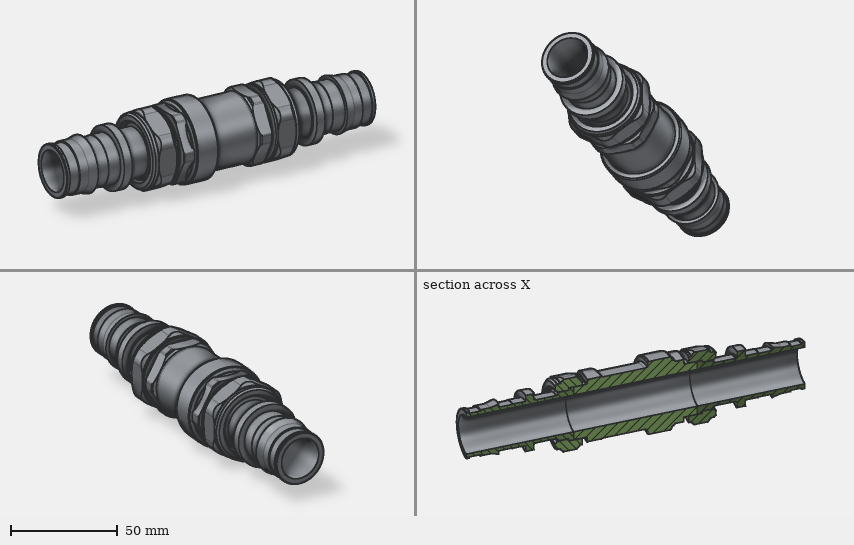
import cadquery as cq
import math


half_length = 84.7
bore_dia = 20.3

rim_dia = 26.1
rim_chamfer = 0.3
rim_width = 1.7
tail_groove_dia = 24.7
tail_groove_width = 5.5
barb_start_dia = 26.1
barb_land_width = 4.7
barb_peak_dia = 28.3
barb_taper_length = 4.2
barb_tip_width = 0.3
seat_length = 6.8
shoulder_dia = 25.0
flange_far_y = 55.0
flange_dia = 31.7
flange_width = 4.4
flange_fillet_length = 0.7
shank_dia = 24.4
tail_collar_dia = 27.6
collar_recess = 0.7

nut_far_y = 40.3
nut_near_y = 26.6
nut_collar_dia = 37.0
nut_collar_chamfer = 1.0
nut_mouth_chamfer = 1.2
nut_lip_length = 6.8
nut_hex_far_y = 37.6
nut_hex_near_y = 27.8
nut_hex_flats = 37.1
nut_hex_corner_radius = 6.8
nut_hex_crown_dia = 41.0
nut_hex_chamfer = 1.7

neck_dia = 30.0
head_far_y = nut_far_y - nut_lip_length
head_length = 2.5
neck_end_y = head_far_y - head_length

neck_collar_dia = 30.5
neck_collar_width = 0.5
body_dia = 34.5
housing_hex_y = 24.2
housing_hex_flats = 35.0
housing_hex_crown_dia = 38.3
housing_hex_edge_chamfer = 0.3
housing_hex_edge_radius = 1.7
hex_taper_y = 18.6
hex_taper_dia = 37.6
hex_cone_far_y = 17.8
hex_cone_near_y = 17.0
hex_cone_dia = 34.9
hex_runout_y = 16.1

ring_dia = 41.4
ring_crown = 0.2
ring_edge_chamfer = 0.7
ring_near_y = -6.0
ring_far_y = -17.3
ring_ramp_length = 1.7
ring_ramp_dia = 35.3
ring_taper_dia = 40.3
ring_taper_end_y = -18.0
ring_hub_dia = 37.0
ring_hub_near_y = -18.6
ring_hub_far_y = -19.2
ring_runout_end_y = -20.2


def revolve_about_y(outline):
    """Revolve a closed outline of (radius, y) about the Y axis."""
    return outline.close().revolve(360, (0, 0, 0), (0, 1, 0))


def revolved(points):
    return revolve_about_y(cq.Workplane("XY").polyline(points))


def cylinder(diameter, low_y, high_y):
    start = cq.Workplane("XZ", origin=(0, low_y, 0))
    return start.circle(diameter / 2).extrude(low_y - high_y)


def hexagon(flats, low_y, high_y, corner_angle):
    """Hexagonal bar along Y with one corner at corner_angle degrees from X towards Z."""
    start = cq.Workplane("XZ", origin=(0, low_y, 0))
    corner_dia = flats / math.cos(math.pi / 6)
    bar = start.polygon(6, corner_dia).extrude(low_y - high_y)
    return bar.rotate((0, 0, 0), (0, 1, 0), corner_angle)


def make_tail():
    """Hose tail of the +Y end."""
    rim_end = half_length - rim_width
    groove_end = rim_end - tail_groove_width
    barb_start = groove_end - barb_land_width
    barb_peak = barb_start - barb_taper_length
    barb_end = barb_peak - barb_tip_width
    seat_end = barb_end - seat_length
    flange_near_y = flange_far_y - flange_width
    shank_start = flange_near_y - flange_fillet_length
    collar_far_y = nut_far_y - collar_recess
    cone_length = (tail_collar_dia - shank_dia) / 2
    bore = bore_dia / 2

    return revolved([
        (bore, half_length),
        (rim_dia / 2 - rim_chamfer, half_length),
        (rim_dia / 2, half_length - rim_chamfer),
        (rim_dia / 2, rim_end),
        (tail_groove_dia / 2, rim_end),
        (tail_groove_dia / 2, groove_end),
        (barb_start_dia / 2, groove_end),
        (barb_start_dia / 2, barb_start),
        (barb_peak_dia / 2, barb_peak),
        (barb_peak_dia / 2, barb_end),
        (tail_groove_dia / 2, barb_end),
        (tail_groove_dia / 2, seat_end),
        (shoulder_dia / 2, seat_end),
        (shoulder_dia / 2, flange_far_y),
        (flange_dia / 2, flange_far_y),
        (flange_dia / 2, flange_near_y),
        (shoulder_dia / 2, flange_near_y),
        (shank_dia / 2, shank_start),
        (shank_dia / 2, collar_far_y),
        (tail_collar_dia / 2, collar_far_y - cone_length),
        (tail_collar_dia / 2, head_far_y),
        (neck_dia / 2, head_far_y),
        (neck_dia / 2, neck_end_y),
        (bore, neck_end_y),
    ])


def make_nut():
    """Union nut of the +Y end, with hexagon corners at +Z and -Z."""
    collar = cylinder(nut_collar_dia, nut_near_y, nut_far_y)
    collar = collar.faces(">Y").edges().chamfer(nut_collar_chamfer)

    grip = hexagon(nut_hex_flats, nut_hex_near_y, nut_hex_far_y, 90)
    grip = grip.edges("|Y").fillet(nut_hex_corner_radius)
    crown = cylinder(nut_hex_crown_dia, nut_hex_near_y, nut_hex_far_y)
    grip = grip.intersect(crown.edges("%CIRCLE").chamfer(nut_hex_chamfer))

    lip_radius = tail_collar_dia / 2
    bore = revolved([
        (0, nut_far_y),
        (lip_radius + nut_mouth_chamfer, nut_far_y),
        (lip_radius, nut_far_y - nut_mouth_chamfer),
        (lip_radius, head_far_y),
        (neck_dia / 2, head_far_y),
        (neck_dia / 2, nut_near_y),
        (0, nut_near_y),
    ])
    return collar.union(grip).cut(bore)


def make_housing_bar(low_y, high_y):
    """Hexagonal bar with corners at +X and -X, each turned to a round crown with soft edges."""
    bar = hexagon(housing_hex_flats, low_y, high_y, 0)
    bar = bar.intersect(cylinder(housing_hex_crown_dia, low_y, high_y))
    return bar.edges("|Y").fillet(housing_hex_edge_radius)


def make_housing_hexagon():
    """Hexagon of the +Y end, tapering and then coned down to the body."""
    bar = make_housing_bar(0, housing_hex_y)
    crown_radius = housing_hex_crown_dia / 2
    envelope = revolved([
        (0, housing_hex_y),
        (crown_radius - housing_hex_edge_chamfer, housing_hex_y),
        (crown_radius, housing_hex_y - housing_hex_edge_chamfer),
        (crown_radius, hex_taper_y),
        (hex_taper_dia / 2, hex_cone_far_y),
        (hex_cone_dia / 2, hex_cone_near_y),
        (body_dia / 2, hex_runout_y),
        (0, hex_runout_y),
    ])
    return bar.intersect(envelope)


def make_far_hexagon():
    """Hexagon of the -Y end, running from the grip ring to the neck."""
    bar = make_housing_bar(-housing_hex_y, ring_far_y)
    crown = cylinder(housing_hex_crown_dia, -housing_hex_y, ring_far_y)
    return bar.intersect(crown.faces("<Y").edges().chamfer(housing_hex_edge_chamfer))


def make_grip_ring():
    """Slightly crowned ring with a ramp up from the body and a coned hub over the hexagon."""
    edge_radius = ring_dia / 2 - ring_crown
    band_near_y = ring_near_y - ring_edge_chamfer
    outline = (
        cq.Workplane("XY")
        .moveTo(0, ring_near_y + ring_ramp_length)
        .lineTo(body_dia / 2, ring_near_y + ring_ramp_length)
        .lineTo(ring_ramp_dia / 2, ring_near_y)
        .lineTo(edge_radius - ring_edge_chamfer, ring_near_y)
        .lineTo(edge_radius, band_near_y)
        .threePointArc((ring_dia / 2, (band_near_y + ring_far_y) / 2), (edge_radius, ring_far_y))
        .lineTo(ring_taper_dia / 2, ring_taper_end_y)
        .lineTo(ring_hub_dia / 2, ring_hub_near_y)
        .lineTo(ring_hub_dia / 2, ring_hub_far_y)
        .lineTo(body_dia / 2, ring_runout_end_y)
        .lineTo(0, ring_runout_end_y)
    )
    return revolve_about_y(outline)


def make_housing():
    collar_end_y = housing_hex_y + neck_collar_width
    housing = cylinder(neck_dia, -neck_end_y, neck_end_y)
    housing = housing.union(cylinder(neck_collar_dia, -collar_end_y, collar_end_y))
    housing = housing.union(cylinder(body_dia, ring_near_y, hex_runout_y))
    housing = housing.union(make_housing_hexagon())
    housing = housing.union(make_far_hexagon())
    housing = housing.union(make_grip_ring())
    return housing.cut(cylinder(bore_dia, -neck_end_y, neck_end_y))


def at_both_ends(body):
    """The body of the +Y end and its mirror image at the -Y end."""
    return [body.val(), body.mirror("XZ").val()]


housing = make_housing()
tails = at_both_ends(make_tail())
nuts = at_both_ends(make_nut())

result = cq.Compound.makeCompound([housing.val(), *tails, *nuts])